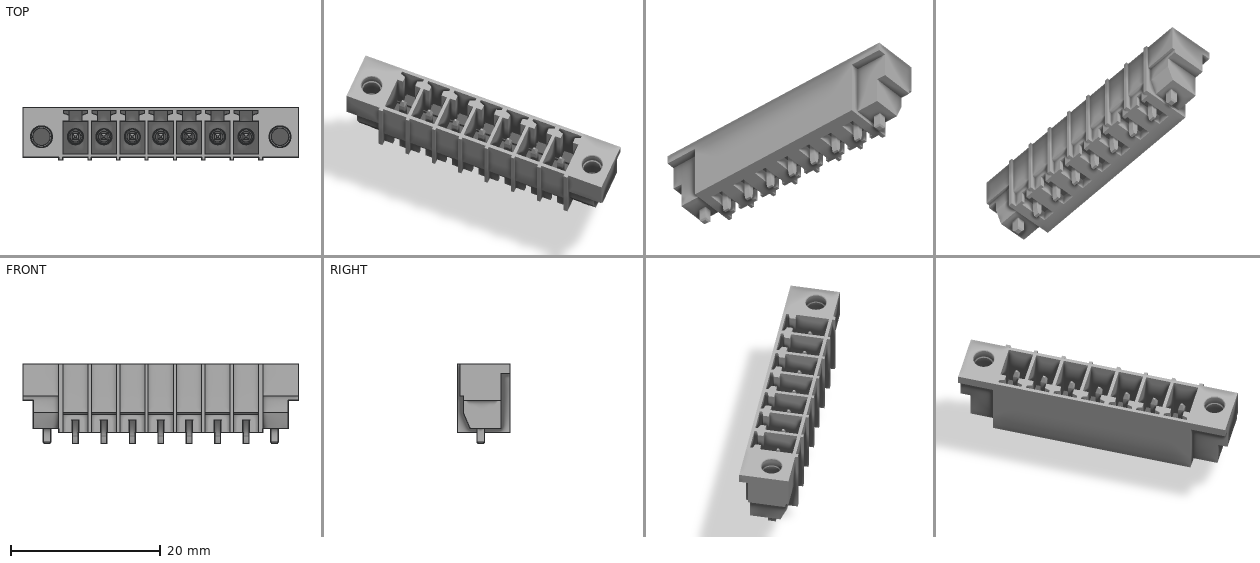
import cadquery as cq
import math


pole_count = 7
pitch = 3.81
pole_xs = [(i - (pole_count - 1) / 2) * pitch for i in range(pole_count)]
wall_xs = [(i - pole_count / 2) * pitch for i in range(pole_count + 1)]
side_signs = (-1, 1)

housing_length = 36.96
housing_height = 9.24
back_y = 3.94
overall_depth = 7.07
overall_height = 10.7
rib_front_y = back_y - overall_depth
rib_depth = 0.35
front_y = rib_front_y + rib_depth
rib_width = 0.46
end_rib_extra = 0.12
body_half_length = wall_xs[-1] + rib_width / 2 + end_rib_extra

recess_depth = 0.4
recess_flat_top_z = 2.44
recess_top_z = 2.68
recess_width = pitch - rib_width

lip_thickness = 1.3
end_back_inset = 1.22
end_back_y = back_y - end_back_inset
flange_height = 4.9
flange_front_height = 4.32
block_inset = 1.38
block_front_inset = 0.44
block_front_y = front_y + block_front_inset
block_bottom_z = 0.56
block_slope_top_z = 2.68
block_slope_depth = 0.92

screw_end_distance = 2.5
screw_x = housing_length / 2 - screw_end_distance
screw_mouth_diameter = 2.75
screw_mouth_depth = 1.25
screw_mouth_chamfer = 0.09
screw_bore_diameter = 2.35
screw_bore_depth = 4.2

socket_width = 3.36
front_wall_thickness = 0.46
socket_front_y = front_y + front_wall_thickness
back_wall_thickness = 1.81
socket_back_y = back_y - back_wall_thickness
socket_floor_z = 3.0
ledge_depth = 0.11
ledge_height = 0.5
ledge_z = socket_floor_z + ledge_height

key_neck_width = 1.77
key_wide_width = 3.2
key_back_wall = 0.44
key_wing_side = 0.34
key_wing_taper = 0.27
key_back_y = back_y - key_back_wall
key_side_y = key_back_y - key_wing_side
key_neck_y = key_side_y - key_wing_taper

collar_base_diameter = 2.16
collar_top_diameter = 1.45
collar_bevel_diameter = 1.85
collar_wall_height = 0.6
collar_bevel_height = 0.2

cavity_wall_thickness = 0.5
cavity_front_y = front_y + recess_depth + cavity_wall_thickness
cavity_width = 1.8
cavity_ceiling_z = 1.7
slot_width = 0.93

pin_width = 0.8
pin_tip_width = 0.25
pin_tip_height = 0.8
pin_top_z = 8.0
tail_bottom_z = housing_height - overall_height
tail_curve_height = 1.0
tail_end_thickness = 0.35

post_x = (pole_count + 1) / 2 * pitch
post_width = 1.06
post_top_z = 2.5
post_chamfer = 0.2


def box(x_range, y_range, z_range):
    """Box between pairs of X, Y and Z limits."""
    (x0, x1), (y0, y1), (z0, z1) = x_range, y_range, z_range
    return cq.Workplane("XY").box(x1 - x0, y1 - y0, z1 - z0, centered=False).translate((x0, y0, z0))


def centered_box(x, width, y_range, z_range):
    """Box of a given X width centred on x."""
    return box((x - width / 2, x + width / 2), y_range, z_range)


def side_prism(points, x0, x1):
    """Prism with a Y-Z outline, running from x0 to x1."""
    return cq.Workplane("YZ").polyline(points).close().extrude(x1 - x0).translate((x0, 0, 0))


def make_mounting_end():
    """Right-hand mounting end: top lip, flange and narrower sloped block below."""
    inner_x = body_half_length
    outer_x = housing_length / 2
    flange_z = housing_height - flange_height
    lip_z = housing_height - lip_thickness
    lip = box((inner_x, outer_x), (front_y, back_y), (lip_z, housing_height))
    flange_outline = [
        (end_back_y, housing_height),
        (front_y, housing_height),
        (front_y, housing_height - flange_front_height),
        (block_front_y, housing_height - flange_front_height),
        (block_front_y, flange_z),
        (end_back_y, flange_z),
    ]
    block_outline = [
        (end_back_y, flange_z),
        (block_front_y, flange_z),
        (block_front_y, block_slope_top_z),
        (block_front_y + block_slope_depth, block_bottom_z),
        (end_back_y, block_bottom_z),
    ]
    flange = side_prism(flange_outline, inner_x, outer_x)
    block = side_prism(block_outline, inner_x, outer_x - block_inset)
    return lip.union(flange).union(block)


def make_screw_hole():
    """Stepped screw hole with a chamfered mouth, cut down from the top at X = 0."""
    top = cq.Workplane("XY").workplane(offset=housing_height)
    mouth = top.circle(screw_mouth_diameter / 2).extrude(-screw_mouth_depth)
    bore = top.circle(screw_bore_diameter / 2).extrude(-screw_bore_depth)
    chamfer = (
        top.circle(screw_mouth_diameter / 2 + screw_mouth_chamfer)
        .workplane(offset=-screw_mouth_chamfer)
        .circle(screw_mouth_diameter / 2)
        .loft()
    )
    return mouth.union(bore).union(chamfer)


def make_key_slot():
    """T-shaped slot at X = 0: a neck down to the ledge and side wings down to the socket floor."""
    neck = centered_box(0, key_neck_width, (socket_back_y, key_back_y), (ledge_z, housing_height))
    wing_outline = [
        (key_neck_width / 2, key_back_y),
        (key_wide_width / 2, key_back_y),
        (key_wide_width / 2, key_side_y),
        (key_neck_width / 2, key_neck_y),
    ]
    wing = (
        cq.Workplane("XY")
        .workplane(offset=socket_floor_z)
        .polyline(wing_outline)
        .close()
        .extrude(housing_height - socket_floor_z)
    )
    return neck.union(wing).union(wing.mirror("YZ"))


def make_pole_cut():
    """Everything removed from the housing for one pole at X = 0, except the pin hole."""
    upper = centered_box(0, socket_width, (socket_front_y, socket_back_y), (ledge_z, housing_height))
    lower = centered_box(
        0, socket_width, (socket_front_y, socket_back_y - ledge_depth), (socket_floor_z, ledge_z)
    )
    collar_wall = (
        cq.Workplane("XY")
        .workplane(offset=socket_floor_z)
        .circle(collar_base_diameter / 2)
        .workplane(offset=collar_wall_height)
        .circle(collar_bevel_diameter / 2)
        .loft()
    )
    collar_bevel = (
        cq.Workplane("XY")
        .workplane(offset=socket_floor_z + collar_wall_height)
        .circle(collar_bevel_diameter / 2)
        .workplane(offset=collar_bevel_height)
        .circle(collar_top_diameter / 2)
        .loft()
    )
    collar = collar_wall.union(collar_bevel)
    socket = upper.union(lower).union(make_key_slot()).cut(collar)
    cavity = centered_box(0, cavity_width, (cavity_front_y, socket_back_y), (0, cavity_ceiling_z))
    slot = centered_box(0, slot_width, (front_y, cavity_front_y), (0, cavity_ceiling_z))
    recess_outline = [
        (front_y, 0),
        (front_y, recess_top_z),
        (front_y + recess_depth, recess_flat_top_z),
        (front_y + recess_depth, 0),
    ]
    recess = side_prism(recess_outline, -recess_width / 2, recess_width / 2)
    return socket.union(cavity).union(slot).union(recess)


def make_pin(x):
    """Square contact pin with a pyramid tip and a tail that curves in at the front and back."""
    half = pin_width / 2
    tail_half = tail_end_thickness / 2
    curve_top_z = tail_bottom_z + tail_curve_height
    middle_z = tail_bottom_z + tail_curve_height / 2
    shoulder_z = pin_top_z - pin_tip_height
    inset = half - tail_half
    radius = (tail_curve_height**2 + inset**2) / (2 * inset)
    middle_half = half - radius + math.sqrt(radius**2 - (tail_curve_height / 2) ** 2)
    shank = (
        cq.Workplane("YZ")
        .moveTo(-half, shoulder_z)
        .lineTo(-half, curve_top_z)
        .threePointArc((-middle_half, middle_z), (-tail_half, tail_bottom_z))
        .lineTo(tail_half, tail_bottom_z)
        .threePointArc((middle_half, middle_z), (half, curve_top_z))
        .lineTo(half, shoulder_z)
        .close()
        .extrude(half, both=True)
    )
    tip = (
        cq.Workplane("XY")
        .workplane(offset=shoulder_z)
        .rect(pin_width, pin_width)
        .workplane(offset=pin_tip_height)
        .rect(pin_tip_width, pin_tip_width)
        .loft()
    )
    return shank.union(tip).translate((x, 0, 0))


def make_post(x):
    """Square solder post with a chamfered lower end."""
    post = centered_box(x, post_width, (-post_width / 2, post_width / 2), (tail_bottom_z, post_top_z))
    return post.faces("<Z").chamfer(post_chamfer)


pins = [make_pin(x) for x in pole_xs]
posts = [make_post(sign * post_x) for sign in side_signs]

housing = box((-body_half_length, body_half_length), (front_y, back_y), (0, housing_height))
mounting_end = make_mounting_end()
housing = housing.union(mounting_end).union(mounting_end.mirror("YZ"))

rib_y_range = (rib_front_y, front_y)
for x in wall_xs[1:-1]:
    housing = housing.union(centered_box(x, rib_width, rib_y_range, (0, housing_height)))
end_rib_inner_x = wall_xs[-1] - rib_width / 2
end_rib = box((end_rib_inner_x, body_half_length), rib_y_range, (0, housing_height))
housing = housing.union(end_rib).union(end_rib.mirror("YZ"))

pole_cut = make_pole_cut()
for x in pole_xs:
    housing = housing.cut(pole_cut.translate((x, 0, 0)))

screw_hole = make_screw_hole()
for sign in side_signs:
    housing = housing.cut(screw_hole.translate((sign * screw_x, 0, 0)))

for inserted in pins + posts:
    housing = housing.cut(inserted)

result = cq.Compound.makeCompound([housing.val(), *[body.val() for body in pins + posts]])